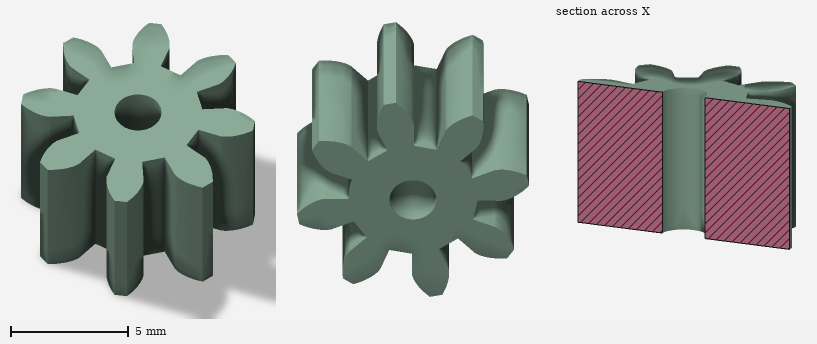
import cadquery as cq
import math

tooth_count = 8
width_across_tips = 9.99
height = 6.25
bore_diameter = 2.0
pressure_angle = math.radians(20)
addendum_ratio = 1.0
dedendum_ratio = 1.25
flank_steps = 8


def involute_angle(radius, base_radius):
    """Polar angle swept by the involute between its base circle and a radius."""
    roll = math.acos(base_radius / radius)
    return math.tan(roll) - roll


pitch_ratio = tooth_count / 2
base_ratio = pitch_ratio * math.cos(pressure_angle)
tip_ratio = pitch_ratio + addendum_ratio

base_half_angle = math.pi / (2 * tooth_count) + involute_angle(pitch_ratio, base_ratio)
tip_half_angle = base_half_angle - involute_angle(tip_ratio, base_ratio)

tip_radius = width_across_tips / 2 / math.cos(tip_half_angle)
module = tip_radius / tip_ratio
base_radius = module * base_ratio
root_radius = module * (pitch_ratio - dedendum_ratio)


def polar_point(radius, angle):
    return (radius * math.cos(angle), radius * math.sin(angle))


def flank_points(tooth_angle, side):
    """Involute flank from base circle to tip; side is -1 or +1 about the tooth centre."""
    points = []
    max_roll = math.acos(base_radius / tip_radius)
    for step in range(flank_steps + 1):
        radius = base_radius / math.cos(max_roll * step / flank_steps)
        half_angle = base_half_angle - involute_angle(radius, base_radius)
        points.append(polar_point(radius, tooth_angle + side * half_angle))
    return points


def gear_outline():
    """Closed outline: radial tooth roots, involute flanks, flat lands and flat gaps."""
    outline = cq.Workplane("XY").moveTo(*polar_point(root_radius, -base_half_angle))
    for tooth in range(tooth_count):
        tooth_angle = 2 * math.pi * tooth / tooth_count
        next_tooth_angle = 2 * math.pi * (tooth + 1) / tooth_count
        rising = flank_points(tooth_angle, -1)
        falling = flank_points(tooth_angle, 1)[::-1]

        outline = outline.lineTo(*rising[0])
        outline = outline.spline(rising[1:], includeCurrent=True)
        outline = outline.lineTo(*falling[0])
        outline = outline.spline(falling[1:], includeCurrent=True)
        outline = outline.lineTo(*polar_point(root_radius, tooth_angle + base_half_angle))
        if tooth < tooth_count - 1:
            outline = outline.lineTo(*polar_point(root_radius, next_tooth_angle - base_half_angle))
    return outline.close()


gear = gear_outline().extrude(height)
result = gear.faces(">Z").workplane(origin=(0, 0, height)).hole(bore_diameter)